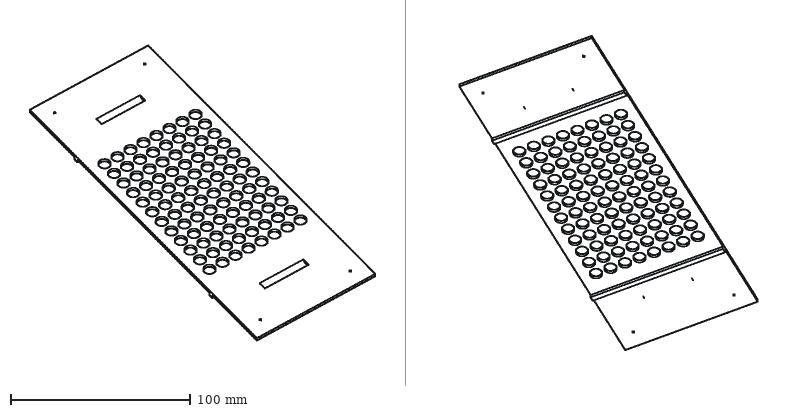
import cadquery as cq

plate_length = 214.0
plate_width = 82.0
total_height = 4.0
rib_height = total_height / 2
plate_thickness = total_height - rib_height

hole_columns = 12
hole_rows = 8
hole_pitch = 9.0
hole_diameter = 7.0

corner_hole_diameter = 1.0
corner_spacing_x = 193.9
corner_spacing_y = 62.3

groove_spacing = 153.9
groove_length = 30.2
groove_width = 5.0
groove_depth = 1.6

rib_spacing = 127.1
rib_width = 2.8


def make_plate():
    """Flat plate with its underside on Z = 0."""
    return cq.Workplane("XY").box(plate_length, plate_width, plate_thickness, centered=(True, True, False))


def make_ribs():
    """Pair of straight ribs hanging below the plate."""
    return (
        cq.Workplane("XY")
        .rarray(rib_spacing, 2.1, 2, 1)
        .rect(rib_width, plate_width)
        .extrude(-rib_height)
    )


def make_groove(center_x):
    """Groove cutter along Y, with a circular-arc bottom."""
    half_width = groove_width / 2
    return (
        cq.Workplane("XZ", origin=(center_x, groove_length / 2, plate_thickness))
        .moveTo(-half_width, 0)
        .threePointArc((0, -groove_depth), (half_width, 0))
        .close()
        .extrude(groove_length)
    )


def make_through_holes(pitch_x, pitch_y, columns, rows, diameter):
    """Centered grid of round cutters through the plate."""
    return (
        cq.Workplane("XY")
        .rarray(pitch_x, pitch_y, columns, rows)
        .circle(diameter / 2)
        .extrude(plate_thickness)
    )


result = make_plate().union(make_ribs())
result = result.cut(make_through_holes(hole_pitch, hole_pitch, hole_columns, hole_rows, hole_diameter))
result = result.cut(make_through_holes(corner_spacing_x, corner_spacing_y, 2, 2, corner_hole_diameter))
for side in (-1, 1):
    result = result.cut(make_groove(side * groove_spacing / 2))